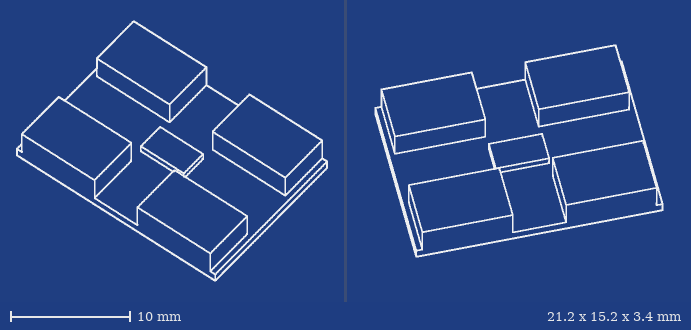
import cadquery as cq

plate_length = 21.25
plate_width = 15.15
plate_thickness = 0.9

total_height = 3.4
block_length = 7.8
block_width = 5.0
block_height = total_height - plate_thickness
end_margin = 0.525

pad_length = plate_length - 2 * (end_margin + block_length)
pad_width = 2.6
pad_height = 0.7


def make_box(length, width, height, x_center=0, y_center=0, z_bottom=0):
    """Box centred at (x_center, y_center) with its underside at z_bottom."""
    box = cq.Workplane("XY").box(length, width, height, centered=(True, True, False))
    return box.translate((x_center, y_center, z_bottom))


def add_corner_blocks(body):
    """Add four equal blocks, mirrored about both centre planes of the plate."""
    block_x = plate_length / 2 - end_margin - block_length / 2
    block_y = plate_width / 2 - block_width / 2
    for x in (-block_x, block_x):
        for y in (-block_y, block_y):
            block = make_box(block_length, block_width, block_height, x, y, plate_thickness)
            body = body.union(block)
    return body


def add_center_pad(body):
    """Add the low pad at the middle of the plate."""
    pad = make_box(pad_length, pad_width, pad_height, z_bottom=plate_thickness)
    return body.union(pad)


plate = make_box(plate_length, plate_width, plate_thickness)
result = add_center_pad(add_corner_blocks(plate))